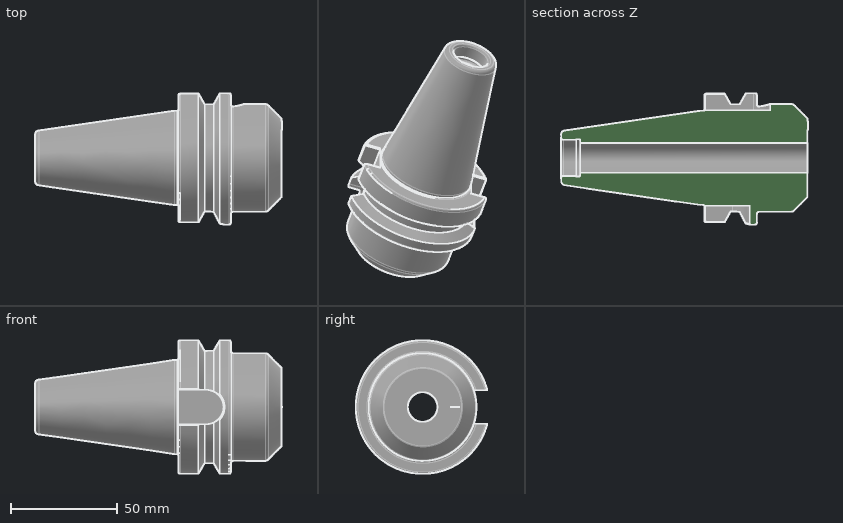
import cadquery as cq
import math

overlap = 1.0

gauge_radius = 44.45 / 2
taper_length = 65.4
taper_slope = 7 / 48
small_end_radius = gauge_radius - taper_length * taper_slope
small_end_fillet = 2.0

flange_radius = 63.0 / 2
flange_front = 2.0
flange_back = 26.8
flange_fillet = 1.0
neck_fillet = 0.5
groove_center = 16.5
groove_width = 10.0
groove_radius = 53.0 / 2
groove_half_angle = 30.0

nose_radius = 50.8 / 2
nose_end = 50.6
nose_root_fillet = 0.9
nose_chamfer = 6.9
nose_shoulder_fillet = 2.0
nose_rim_fillet = 0.5

through_radius = 13.84 / 2
pilot_radius = 17.0 / 2
pilot_depth = 9.0
pilot_mouth_fillet = 1.0
relief_radius = 17.5 / 2
relief_length = 1.9
relief_fillet = 0.5

slot_width = 16.1
slot_floor = 22.5
short_slot_end = 23.3
long_slot_end = 33.0
slot_chamfer = 0.5

mark_height = 0.2
mark_width = 0.2
mark_inner = 13.2
mark_outer = 17.32


class RimSelector(cq.Selector):
    """Picks the circular edges of one radius centred on the axis at one X."""

    def __init__(self, x, radius):
        self.x = x
        self.radius = radius

    def filter(self, objects):
        tolerance = 1e-4
        circles = [edge for edge in objects if edge.geomType() == "CIRCLE"]
        return [
            edge
            for edge in circles
            if abs(edge.radius() - self.radius) < tolerance
            and abs(edge.arcCenter().x - self.x) < tolerance
        ]


def make_turned_body():
    groove_run = (flange_radius - groove_radius) * math.tan(math.radians(groove_half_angle))
    groove_start = groove_center - groove_width / 2
    groove_stop = groove_center + groove_width / 2
    profile = [
        (-taper_length, 0),
        (-taper_length, small_end_radius),
        (0, gauge_radius),
        (flange_front, gauge_radius),
        (flange_front, flange_radius),
        (groove_start, flange_radius),
        (groove_start + groove_run, groove_radius),
        (groove_stop - groove_run, groove_radius),
        (groove_stop, flange_radius),
        (flange_back, flange_radius),
        (flange_back, nose_radius),
        (nose_end - nose_chamfer, nose_radius),
        (nose_end, nose_radius - nose_chamfer),
        (nose_end, 0),
    ]
    body = cq.Workplane("XY").polyline(profile).close().revolve(360, (0, 0, 0), (1, 0, 0))
    rounded_rims = [
        (-taper_length, small_end_radius, small_end_fillet),
        (flange_front, gauge_radius, neck_fillet),
        (flange_front, flange_radius, flange_fillet),
        (flange_back, flange_radius, flange_fillet),
        (flange_back, nose_radius, nose_root_fillet),
        (nose_end - nose_chamfer, nose_radius, nose_shoulder_fillet),
        (nose_end, nose_radius - nose_chamfer, nose_rim_fillet),
    ]
    for x, radius, fillet in rounded_rims:
        body = body.edges(RimSelector(x, radius)).fillet(fillet)
    return body


def make_bore():
    floor_x = -taper_length + pilot_depth
    relief_x = floor_x - relief_length
    return (
        cq.Workplane("XY")
        .moveTo(-taper_length, 0)
        .lineTo(-taper_length, pilot_radius + pilot_mouth_fillet)
        .radiusArc((-taper_length + pilot_mouth_fillet, pilot_radius), -pilot_mouth_fillet)
        .lineTo(relief_x, pilot_radius)
        .lineTo(relief_x, relief_radius)
        .lineTo(floor_x - relief_fillet, relief_radius)
        .radiusArc((floor_x, relief_radius - relief_fillet), relief_fillet)
        .lineTo(floor_x, through_radius)
        .lineTo(nose_end, through_radius)
        .lineTo(nose_end, 0)
        .close()
        .revolve(360, (0, 0, 0), (1, 0, 0))
    )


def make_slot(end_x, side):
    """Round-ended slot open at the flange front; side is +1 for +Y and -1 for -Y."""
    half_width = slot_width / 2
    arc_center = end_x - half_width
    height = flange_radius - slot_floor + overlap
    return (
        cq.Workplane("XZ", origin=(0, side * slot_floor, 0))
        .moveTo(flange_front - overlap, -half_width)
        .lineTo(arc_center, -half_width)
        .threePointArc((end_x, 0), (arc_center, half_width))
        .lineTo(flange_front - overlap, half_width)
        .close()
        .extrude(-side * height)
    )


class SlotRimSelector(cq.Selector):
    """Picks the slot edges on the front collar and the outer edge of the short slot's round end."""

    def filter(self, objects):
        tolerance = 1e-3
        rim_radius = flange_radius - flange_fillet
        rim_edges = []
        for edge in objects:
            middle = edge.positionAt(0.5)
            radius = math.hypot(middle.y, middle.z)
            above_floor = abs(middle.y) > slot_floor + tolerance
            within_width = abs(middle.z) < slot_width / 2 + tolerance
            on_front_face = abs(middle.x - flange_front) < tolerance
            on_rounded_rim = middle.x < flange_front + flange_fillet and radius > rim_radius
            on_diameter = abs(radius - flange_radius) < tolerance
            on_front_collar = on_diameter and middle.x < groove_center
            on_short_slot_end = on_diameter and abs(middle.x - short_slot_end) < tolerance
            on_rim = on_front_face or on_rounded_rim or on_front_collar or on_short_slot_end
            if above_floor and within_width and on_rim:
                rim_edges.append(edge)
        return rim_edges


def make_index_mark():
    mark = cq.Workplane("XY").box(
        mark_height + overlap,
        mark_outer - mark_inner,
        mark_width,
        centered=(False, False, True),
    )
    return mark.translate((nose_end - overlap, mark_inner, 0))


body = make_turned_body().cut(make_bore())
body = body.cut(make_slot(short_slot_end, -1)).cut(make_slot(long_slot_end, 1))
body = body.edges(SlotRimSelector()).chamfer(slot_chamfer)
result = body.union(make_index_mark())